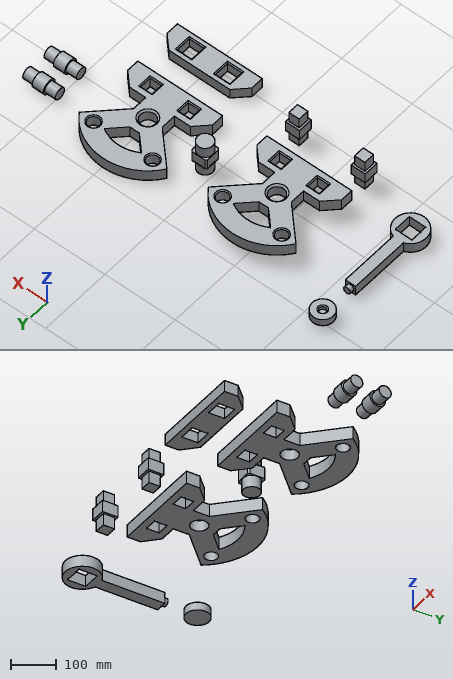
import cadquery as cq
import math

RIM = 3.0
BASE_WIDTH = 241.0
BASE_CORNER = 34.0
SOCKET_PITCH = 108.0

FRAME_THICKNESS = 32.0
FRAME_PLACES = [(-173.0, 24.0, -17.0), (194.0, 24.0, -46.0)]
NECK_HALF_WIDTH = 41.0
NECK_LENGTH = 41.0
FRAME_BASE_HEIGHT = 68.0
SECTOR_RADIUS = 150.0
WINDOW_RADIUS = 100.0
WINDOW_FLOOR = 45.0
WINDOW_HALF_FLOOR = 14.0
PIVOT_HOLE_DIAMETER = 42.0
PIVOT_RIM = 5.0
ARM_HOLE_DIAMETER = 32.0
ARM_HOLE_OFFSET = 84.0
FRAME_SOCKET = 32.0

LINK_HEIGHT = 69.0
LINK_THICKNESS = 29.0
LINK_SOCKET = 41.0
LINK_PLACE = (196.0, -187.0, -43.0)

HANDLE_THICKNESS = 29.0
HANDLE_PLACE = (-444.0, -105.0, -43.0)
HEAD_DIAMETER = 88.0
HEAD_SOCKET = 47.0
ARM_WIDTH = 29.0
ARM_END = 203.0
STUB_DIAMETER = 20.0
STUB_LENGTH = 12.0

KNOB_DIAMETER = 60.0
KNOB_THICKNESS = 21.0
KNOB_BORE_DEPTH = 12.0
KNOB_PLACE = (-444.0, 192.0, -37.0)

COLLAR_LENGTH = 30.0
SHANK_LENGTH = 30.0
SQUARE_SHANK = 29.0
SQUARE_COLLAR = 40.0
SQUARE_PIN_PLACES = [(-268.0, -157.0, -41.0), (-79.0, -159.0, -41.0)]
PIVOT_SHANK_DIAMETER = 43.0
PIVOT_COLLAR = 45.0
PIVOT_COLLAR_CORNER = 4.0
PIVOT_PIN_PLACE = (22.0, 35.0, -40.0)
ROUND_SHANK_DIAMETER = 31.0
ROUND_COLLAR_DIAMETER = 40.0
ROUND_COLLAR_LENGTH = 32.0
ROUND_PIN_PLACES = [(393.0, 86.0, -28.0), (396.0, 11.0, -30.0)]


def bar_outline(top, height):
    """Bar profile with both upper corners cut, centred on X."""
    half = BASE_WIDTH / 2
    return [
        (-half, top - height),
        (half, top - height),
        (half, top - BASE_CORNER),
        (half - BASE_CORNER, top),
        (BASE_CORNER - half, top),
        (-half, top - BASE_CORNER),
    ]


def square_socket(side, thickness, rim=RIM):
    """Cutter for a square through hole with a chamfered upper rim."""
    hole = cq.Workplane("XY").rect(side, side).extrude(thickness)
    flare = cq.Workplane("XY", origin=(0, 0, thickness)).rect(side + 2 * rim, side + 2 * rim)
    return hole.union(flare.extrude(-rim, taper=45))


def round_bore(diameter, bottom, top, rim=RIM):
    """Cutter for a round hole with a chamfered upper rim."""
    radius = diameter / 2
    profile = [(0, bottom), (radius, bottom), (radius, top - rim), (radius + rim, top), (0, top)]
    return cq.Workplane("XZ").polyline(profile).close().revolve(360, (0, 0, 0), (0, 1, 0))


def make_frame():
    rise = (math.sqrt(2 * SECTOR_RADIUS**2 - NECK_HALF_WIDTH**2) - NECK_HALF_WIDTH) / 2
    tip = NECK_HALF_WIDTH + rise
    neck_foot = -NECK_LENGTH - FRAME_BASE_HEIGHT
    sector = (
        cq.Workplane("XY")
        .moveTo(-NECK_HALF_WIDTH, neck_foot)
        .lineTo(NECK_HALF_WIDTH, neck_foot)
        .lineTo(NECK_HALF_WIDTH, 0)
        .lineTo(tip, rise)
        .threePointArc((0, SECTOR_RADIUS), (-tip, rise))
        .lineTo(-NECK_HALF_WIDTH, 0)
        .close()
        .extrude(FRAME_THICKNESS)
    )
    base = cq.Workplane("XY").polyline(bar_outline(-NECK_LENGTH, FRAME_BASE_HEIGHT)).close()
    frame = sector.union(base.extrude(FRAME_THICKNESS))

    side_shift = WINDOW_FLOOR - WINDOW_HALF_FLOOR
    corner_x = (math.sqrt(2 * WINDOW_RADIUS**2 - side_shift**2) - side_shift) / 2
    corner_y = corner_x + side_shift
    window = (
        cq.Workplane("XY")
        .moveTo(-WINDOW_HALF_FLOOR, WINDOW_FLOOR)
        .lineTo(WINDOW_HALF_FLOOR, WINDOW_FLOOR)
        .lineTo(corner_x, corner_y)
        .threePointArc((0, WINDOW_RADIUS), (-corner_x, corner_y))
        .close()
        .extrude(FRAME_THICKNESS)
    )
    frame = frame.cut(window)

    frame = frame.cut(round_bore(PIVOT_HOLE_DIAMETER, 0, FRAME_THICKNESS, PIVOT_RIM))
    arm_hole = round_bore(ARM_HOLE_DIAMETER, 0, FRAME_THICKNESS)
    socket = square_socket(FRAME_SOCKET, FRAME_THICKNESS)
    socket_y = -NECK_LENGTH - FRAME_BASE_HEIGHT / 2
    for side in (-1, 1):
        frame = frame.cut(arm_hole.translate((side * ARM_HOLE_OFFSET, ARM_HOLE_OFFSET, 0)))
        frame = frame.cut(socket.translate((side * SOCKET_PITCH / 2, socket_y, 0)))
    return frame


def make_link():
    outline = bar_outline(LINK_HEIGHT / 2, LINK_HEIGHT)
    link = cq.Workplane("XY").polyline(outline).close().extrude(LINK_THICKNESS)
    socket = square_socket(LINK_SOCKET, LINK_THICKNESS)
    for side in (-1, 1):
        link = link.cut(socket.translate((side * SOCKET_PITCH / 2, 0, 0)))
    return link


def make_handle():
    head = cq.Workplane("XY").circle(HEAD_DIAMETER / 2).extrude(HANDLE_THICKNESS)
    arm = cq.Workplane("XY").center(0, ARM_END / 2).rect(ARM_WIDTH, ARM_END).extrude(HANDLE_THICKNESS)
    stub = cq.Workplane("XZ", origin=(0, ARM_END, HANDLE_THICKNESS / 2)).circle(STUB_DIAMETER / 2)
    socket = cq.Workplane("XY").rect(HEAD_SOCKET, HEAD_SOCKET).extrude(HANDLE_THICKNESS)
    return head.union(arm).union(stub.extrude(-STUB_LENGTH)).cut(socket)


def make_knob():
    """Disc with a blind bore that takes the stub of the handle."""
    disc = cq.Workplane("XY").circle(KNOB_DIAMETER / 2).extrude(KNOB_THICKNESS)
    return disc.cut(round_bore(STUB_DIAMETER, KNOB_THICKNESS - KNOB_BORE_DEPTH, KNOB_THICKNESS))


def make_square_pin():
    length = COLLAR_LENGTH + 2 * SHANK_LENGTH
    shank = cq.Workplane("XY").rect(SQUARE_SHANK, SQUARE_SHANK).extrude(length)
    collar = cq.Workplane("XY", origin=(0, 0, SHANK_LENGTH)).rect(SQUARE_COLLAR, SQUARE_COLLAR)
    return shank.union(collar.extrude(COLLAR_LENGTH))


def make_pivot_pin():
    length = COLLAR_LENGTH + 2 * SHANK_LENGTH
    shank = cq.Workplane("XY").circle(PIVOT_SHANK_DIAMETER / 2).extrude(length)
    collar = cq.Workplane("XY", origin=(0, 0, SHANK_LENGTH)).rect(PIVOT_COLLAR, PIVOT_COLLAR)
    collar = collar.extrude(COLLAR_LENGTH).edges("|Z").chamfer(PIVOT_COLLAR_CORNER)
    return shank.union(collar)


def make_round_pin():
    """Round pin lying along X."""
    length = ROUND_COLLAR_LENGTH + 2 * SHANK_LENGTH
    shank = cq.Workplane("YZ").circle(ROUND_SHANK_DIAMETER / 2).extrude(length)
    collar = cq.Workplane("YZ", origin=(SHANK_LENGTH, 0, 0)).circle(ROUND_COLLAR_DIAMETER / 2)
    return shank.union(collar.extrude(ROUND_COLLAR_LENGTH))


frames = [make_frame().translate(place) for place in FRAME_PLACES]
link = make_link().translate(LINK_PLACE)
handle = make_handle().translate(HANDLE_PLACE)
knob = make_knob().translate(KNOB_PLACE)
square_pins = [make_square_pin().translate(place) for place in SQUARE_PIN_PLACES]
pivot_pin = make_pivot_pin().translate(PIVOT_PIN_PLACE)
round_pins = [make_round_pin().translate(place) for place in ROUND_PIN_PLACES]

bodies = [*frames, link, handle, knob, *square_pins, pivot_pin, *round_pins]
result = cq.Compound.makeCompound([body.val() for body in bodies])